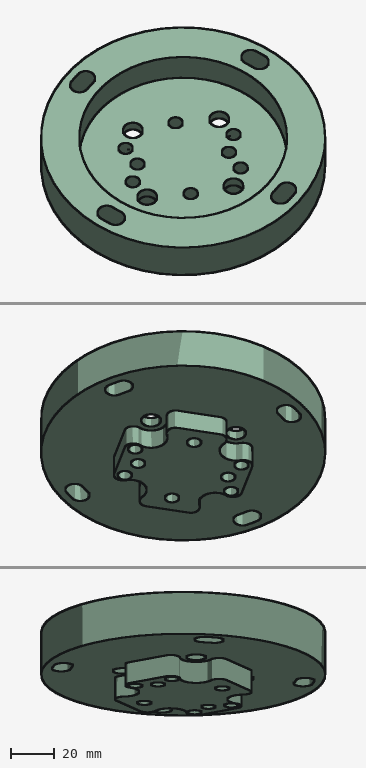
import cadquery as cq
import math

FLANGE_DIAMETER = 130.0
FLANGE_HEIGHT = 20.0
CUP_DIAMETER = 95.0
CUP_DEPTH = 15.0

BOSS_HEIGHT = 10.0
BOSS_SIDE = 60.0
LOBE_RADIUS = 4.0
LOBE_OFFSET = 10.0
SCOOP_RADIUS = 7.5
BLEND_RADIUS = 3.0

TURN_ANGLE = 45.0
LARGE_HOLE_DIAMETER = 9.0
LARGE_HOLE_PITCH = 40.0
SMALL_HOLE_DIAMETER = 6.5
INNER_HOLE_PITCH = 30.0
PAIR_HOLE_SPAN = 50.0
PAIR_HOLE_PITCH = 20.0

SLOT_WIDTH = 8.5
SLOT_SWEEP = 5.0
SLOT_PITCH = 80.0

QUARTER_TURN = 90.0
QUARTERS = 4
OVERALL_HEIGHT = FLANGE_HEIGHT + BOSS_HEIGHT


def make_flange():
    """Disc standing on Z = 0 with a round cup in its top face."""
    disc = cq.Workplane("XY").circle(FLANGE_DIAMETER / 2).extrude(FLANGE_HEIGHT)
    cup = (
        cq.Workplane("XY", origin=(0, 0, FLANGE_HEIGHT - CUP_DEPTH))
        .circle(CUP_DIAMETER / 2)
        .extrude(CUP_DEPTH)
    )
    return disc.cut(cup)


def rotate_point(point, degrees):
    """Point turned about the origin."""
    x, y = point
    angle = math.radians(degrees)
    return (
        x * math.cos(angle) - y * math.sin(angle),
        x * math.sin(angle) + y * math.cos(angle),
    )


def make_boss():
    """Four-armed boss below Z = 0, with rounded arm ends and scoops between the arms."""
    arm_end = BOSS_SIDE / 2
    arm_wall = LOBE_OFFSET + LOBE_RADIUS
    lobe_axis = arm_end - LOBE_RADIUS
    lobe_bulge = LOBE_RADIUS * math.sqrt(0.5)
    lobe_middle = (lobe_axis + lobe_bulge, LOBE_OFFSET + lobe_bulge)

    scoop_axis = LARGE_HOLE_PITCH / 2
    scoop_bottom = scoop_axis - SCOOP_RADIUS * math.sqrt(0.5)
    blend_depth = scoop_axis - arm_wall + BLEND_RADIUS
    axis_distance = SCOOP_RADIUS + BLEND_RADIUS
    blend_reach = math.sqrt(axis_distance**2 - blend_depth**2)
    blend_axis = scoop_axis + blend_reach
    scoop_start = (
        scoop_axis + blend_reach * SCOOP_RADIUS / axis_distance,
        scoop_axis - blend_depth * SCOOP_RADIUS / axis_distance,
    )
    blend_half_sweep = math.acos(blend_depth / axis_distance) / 2
    blend_middle = (
        blend_axis - BLEND_RADIUS * math.sin(blend_half_sweep),
        arm_wall - BLEND_RADIUS * (1 - math.cos(blend_half_sweep)),
    )

    outline = cq.Workplane("XY").moveTo(arm_end, -LOBE_OFFSET)
    for quarter in range(QUARTERS):
        def place(x, y):
            return rotate_point((x, y), quarter * QUARTER_TURN)

        outline = (
            outline.lineTo(*place(arm_end, LOBE_OFFSET))
            .threePointArc(place(*lobe_middle), place(lobe_axis, arm_wall))
            .lineTo(*place(blend_axis, arm_wall))
            .threePointArc(place(*blend_middle), place(*scoop_start))
            .threePointArc(place(scoop_bottom, scoop_bottom), place(*reversed(scoop_start)))
            .threePointArc(place(*reversed(blend_middle)), place(arm_wall, blend_axis))
            .lineTo(*place(arm_wall, lobe_axis))
            .threePointArc(place(*reversed(lobe_middle)), place(LOBE_OFFSET, arm_end))
        )
    boss = outline.close().extrude(-BOSS_HEIGHT)
    return boss.rotate((0, 0, 0), (0, 0, 1), TURN_ANGLE)


def make_hole_grid(diameter, x_pitch, y_pitch, turn=0.0):
    """Four full-height pins at the corners of a rectangle turned about Z."""
    corners = [(x * x_pitch / 2, y * y_pitch / 2) for x in (-1, 1) for y in (-1, 1)]
    return (
        cq.Workplane("XY", origin=(0, 0, -BOSS_HEIGHT))
        .pushPoints([rotate_point(corner, turn) for corner in corners])
        .circle(diameter / 2)
        .extrude(OVERALL_HEIGHT)
    )


def make_rim_slots():
    """Four slots through the rim, on the X and Y axes, each curved about the flange axis."""
    mid_radius = SLOT_PITCH * math.sqrt(0.5)
    inner_radius = mid_radius - SLOT_WIDTH / 2
    outer_radius = mid_radius + SLOT_WIDTH / 2
    half_angle = SLOT_SWEEP / 2

    slots = cq.Workplane("XY")
    for quarter in range(QUARTERS):
        slot_angle = quarter * QUARTER_TURN
        start_angle = slot_angle - half_angle
        stop_angle = slot_angle + half_angle
        slots = (
            slots.moveTo(*rotate_point((outer_radius, 0), start_angle))
            .threePointArc(
                rotate_point((outer_radius, 0), slot_angle),
                rotate_point((outer_radius, 0), stop_angle),
            )
            .threePointArc(
                rotate_point((mid_radius, SLOT_WIDTH / 2), stop_angle),
                rotate_point((inner_radius, 0), stop_angle),
            )
            .threePointArc(
                rotate_point((inner_radius, 0), slot_angle),
                rotate_point((inner_radius, 0), start_angle),
            )
            .threePointArc(
                rotate_point((mid_radius, -SLOT_WIDTH / 2), start_angle),
                rotate_point((outer_radius, 0), start_angle),
            )
            .close()
        )
    return slots.extrude(FLANGE_HEIGHT)


result = (
    make_flange()
    .union(make_boss())
    .cut(make_hole_grid(LARGE_HOLE_DIAMETER, LARGE_HOLE_PITCH, LARGE_HOLE_PITCH, TURN_ANGLE))
    .cut(make_hole_grid(SMALL_HOLE_DIAMETER, INNER_HOLE_PITCH, INNER_HOLE_PITCH))
    .cut(make_hole_grid(SMALL_HOLE_DIAMETER, PAIR_HOLE_SPAN, PAIR_HOLE_PITCH, TURN_ANGLE))
    .cut(make_rim_slots())
)